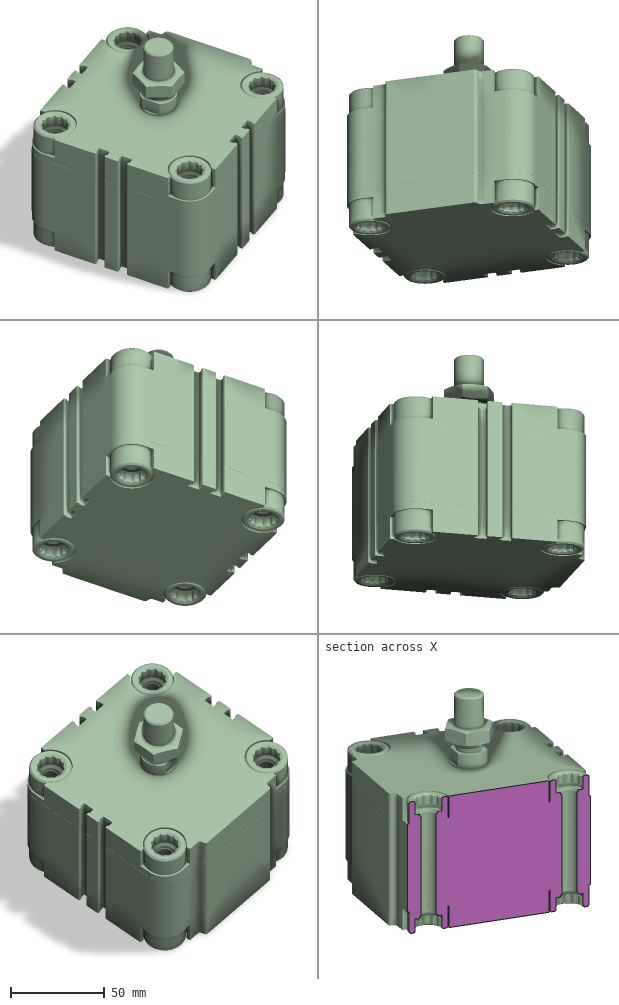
import cadquery as cq
import math

housing_width = 107.0
housing_depth = 111.0
housing_height = 76.0
cap_height = 16.5
cap_inset = 0.06
bolt_spacing = 82.0
half_width = housing_width / 2
bolt_offset = bolt_spacing / 2
corner_radius = half_width - bolt_offset

tab_top = housing_depth - half_width
tab_top_half_width = 26.1
tab_base_half_width = 27.0
tab_fillet = 1.6

slot_pitch = 13.7
slot_neck_width = 5.2
slot_inner_width = 6.6
slot_lip = 1.9
slot_depth = 5.1
slot_edge_radius = 0.5

pocket_depth = 12.4
pocket_diameter = 23.4
pocket_inner_edge = 34.7
head_diameter = 23.0
head_chamfer = 0.9

socket_rim_diameter = 17.4
socket_lead_in_angle = 30.0
socket_point_diameter = 15.4
socket_points = 12
socket_wall_depth = 5.8
socket_depth = 7.8
counterbore_rim_diameter = 10.7
counterbore_floor_diameter = 9.7
counterbore_depth = 1.3
bolt_hole_diameter = 8.4
socket_point_radius = socket_point_diameter / 2
socket_valley_radius = socket_point_radius * math.cos(math.radians(30)) / math.cos(math.radians(15))

rod_top = 116.0
rod_diameter = 20.0
rod_seat_depth = cap_height
rod_shoulder = 84.1
rod_flat_width = 17.0
rod_flat_bottom = 76.8
neck_diameter = 14.2
neck_top = 86.8
thread_diameter = 16.0
thread_tip_diameter = 14.4
thread_chamfer = (thread_diameter - thread_tip_diameter) / 2

nut_bottom = 90.1
nut_height = 8.0
nut_across_flats = 24.0
nut_face_diameter = 23.8
nut_chamfer_angle = 15.0
nut_across_corners = nut_across_flats / math.cos(math.radians(30))


def cylinder(diameter, bottom, height):
    return cq.Workplane("XY", origin=(0, 0, bottom)).circle(diameter / 2).extrude(height)


def cone(bottom_diameter, top_diameter, bottom, height):
    return cq.Workplane(
        cq.Solid.makeCone(bottom_diameter / 2, top_diameter / 2, height, pnt=cq.Vector(0, 0, bottom))
    )


def slot_pair(length):
    """Two T-slot cutters that open on the -Y side."""
    cutters = cq.Workplane("XY")
    for x in (-slot_pitch / 2, slot_pitch / 2):
        neck = cq.Workplane("XY").center(x, -half_width + slot_depth / 2)
        inner = cq.Workplane("XY").center(x, -half_width + (slot_lip + slot_depth) / 2)
        cutters = cutters.add(neck.rect(slot_neck_width, slot_depth).extrude(length))
        cutters = cutters.add(inner.rect(slot_inner_width, slot_depth - slot_lip).extrude(length))
    return cutters.combine()


def make_section(length, inset):
    """A length of the housing: rounded square, tab and T-slots, its outline pulled in by the inset."""
    side = housing_width - 2 * inset
    section = cq.Workplane("XY").rect(side, side).extrude(length)
    section = section.edges("|Z").fillet(corner_radius - inset)

    base, top = half_width - inset, tab_top - inset
    base_half, top_half = tab_base_half_width - inset, tab_top_half_width - inset
    tab_outline = [
        (-base_half, 0),
        (-base_half, base),
        (-top_half, top),
        (top_half, top),
        (base_half, base),
        (base_half, 0),
    ]
    section = section.union(cq.Workplane("XY").polyline(tab_outline).close().extrude(length))

    def is_tab_edge(edge):
        middle = edge.Center()
        return middle.y > base - tab_fillet and abs(middle.x) < base_half + tab_fillet

    section = section.edges("|Z").filter(is_tab_edge).fillet(tab_fillet)

    pair = slot_pair(length)
    for angle in (-90, 0, 90):
        section = section.cut(pair.rotate((0, 0, 0), (0, 0, 1), angle))

    def is_lip_edge(edge):
        near, far = sorted((abs(edge.Center().x), abs(edge.Center().y)))
        return near < slot_pitch and base - slot_lip / 2 < far < half_width + slot_lip / 2

    return section.edges("|Z").filter(is_lip_edge).fillet(slot_edge_radius)


def make_shell():
    """Tube and both end caps, without the bolts."""
    tube = make_section(housing_height - 2 * cap_height, 0).translate((0, 0, cap_height))
    cap = make_section(cap_height, cap_inset)
    return tube.union(cap).union(cap.translate((0, 0, housing_height - cap_height)))


def corner_pocket():
    """Pocket for the bolt head at the +X +Y corner, placed about the bolt axis."""
    bottom = housing_height - pocket_depth
    wall = pocket_inner_edge - bolt_offset
    corner_box = cq.Workplane("XY", origin=(wall, wall, bottom)).rect(
        housing_width, housing_width, centered=False
    ).extrude(pocket_depth)
    return corner_box.union(cylinder(pocket_diameter, bottom, pocket_depth))


def bolt_head():
    head = cylinder(head_diameter, housing_height - pocket_depth, pocket_depth)
    return head.faces(">Z").edges().chamfer(head_chamfer)


def twelve_point_outline():
    """Corner points of two equal hexagons turned 30 degrees to each other."""
    points = []
    for i in range(2 * socket_points):
        angle = math.pi * i / socket_points
        radius = socket_point_radius if i % 2 == 0 else socket_valley_radius
        points.append((radius * math.cos(angle), radius * math.sin(angle)))
    return points


def bolt_socket():
    """Cutter for the socket: conical lead-in, twelve-point walls, round relief and tapered counterbore."""
    floor = housing_height - socket_depth
    wall_bottom = housing_height - socket_wall_depth
    walls = cq.Workplane("XY", origin=(0, 0, wall_bottom))
    socket = walls.polyline(twelve_point_outline()).close().extrude(socket_wall_depth)

    lead_in_run = socket_rim_diameter / 2 - socket_valley_radius
    lead_in_depth = lead_in_run * math.tan(math.radians(socket_lead_in_angle))
    lead_in = cone(
        2 * socket_valley_radius, socket_rim_diameter, housing_height - lead_in_depth, lead_in_depth
    )
    relief = cylinder(socket_point_diameter, floor, wall_bottom - floor)
    counterbore = cone(
        counterbore_floor_diameter, counterbore_rim_diameter, floor - counterbore_depth, counterbore_depth
    )
    return socket.union(lead_in).union(relief).union(counterbore)


def at_every_corner(shape):
    """Copies of a shape made for the top +X +Y bolt, at all corners of both caps."""
    placed = shape.translate((bolt_offset, bolt_offset, 0))
    middle = (0, 0, housing_height / 2)
    both_ends = [placed, placed.mirror("XY", middle)]
    return [end.rotate((0, 0, 0), (0, 0, 1), 90 * i) for i in range(4) for end in both_ends]


def make_housing():
    body = make_shell()
    for pocket in at_every_corner(corner_pocket()):
        body = body.cut(pocket)
    for head in at_every_corner(bolt_head()):
        body = body.union(head)
    for socket in at_every_corner(bolt_socket()):
        body = body.cut(socket)
    holes = cq.Workplane("XY").rect(bolt_spacing, bolt_spacing, forConstruction=True).vertices()
    body = body.cut(holes.circle(bolt_hole_diameter / 2).extrude(housing_height))
    return body.cut(cylinder(rod_diameter, housing_height - rod_seat_depth, rod_seat_depth))


def make_rod():
    bottom = housing_height - rod_seat_depth
    rod = cylinder(rod_diameter, bottom, rod_shoulder - bottom)
    for side in (-1, 1):
        beyond_flat = cq.Workplane("XY", origin=(0, side * rod_flat_width, rod_flat_bottom))
        rod = rod.cut(beyond_flat.rect(rod_diameter, rod_flat_width).extrude(rod_shoulder - rod_flat_bottom))
    thread = cylinder(thread_diameter, neck_top, rod_top - neck_top)
    thread = thread.faces("<Z or >Z").edges().chamfer(thread_chamfer)
    neck = cylinder(neck_diameter, rod_shoulder, neck_top - rod_shoulder)
    return rod.union(neck).union(thread)


def make_nut():
    nut = cq.Workplane("XY", origin=(0, 0, nut_bottom)).polygon(6, nut_across_corners).extrude(nut_height)
    nut = nut.rotate((0, 0, 0), (0, 0, 1), 30)

    face_radius = nut_face_diameter / 2
    blank_radius = nut_across_corners / 2
    bevel = (blank_radius - face_radius) * math.tan(math.radians(nut_chamfer_angle))
    nut_top = nut_bottom + nut_height
    blank_outline = [
        (0, nut_bottom),
        (face_radius, nut_bottom),
        (blank_radius, nut_bottom + bevel),
        (blank_radius, nut_top - bevel),
        (face_radius, nut_top),
        (0, nut_top),
    ]
    blank = cq.Workplane("XZ").polyline(blank_outline).close().revolve(360, (0, 0, 0), (0, 1, 0))
    return nut.intersect(blank).cut(cylinder(thread_diameter, nut_bottom, nut_height))


housing = make_housing()
rod = make_rod()
nut = make_nut()

result = cq.Compound.makeCompound([housing.val(), rod.val(), nut.val()])